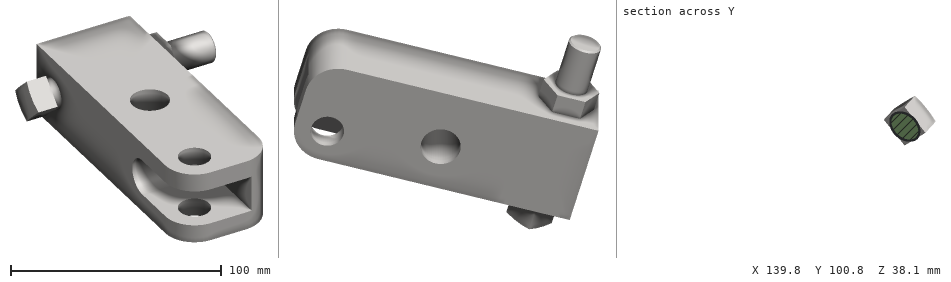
import cadquery as cq
import math

BLOCK_DEPTH = 50.8
BLOCK_HEIGHT = 38.1
CORNER_RADIUS = 15.875
PIN_X = 123.955
BLOCK_LENGTH = PIN_X + CORNER_RADIUS

PIN_HOLE_DIAMETER = 15.875
PIN_Y = CORNER_RADIUS
PIVOT_HOLE_DIAMETER = 19.05
PIVOT_X = 69.85
PIVOT_Y = 22.225

SLOT_WIDTH = 19.05
SLOT_START_X = 92.075
SLOT_BACK_WALL = 12.7

BOLT_X = 16.0
BOLT_DIAMETER = 15.875
BOLT_LENGTH = 88.9
BOLT_CHAMFER = 0.79375
HEAD_GAP = 3.96875
HEAD_SIDE = 15.875
HEAD_HEIGHT = 11.90625
HEAD_DOME_RADIUS = 44.45
NUT_ACROSS_FLATS = 23.8125
NUT_THICKNESS = 9.525

MID_HEIGHT = BLOCK_HEIGHT / 2
HEAD_SEAT_Y = -HEAD_GAP


def plane_facing_back(y):
    """XZ plane through the bolt axis at the given Y, with its normal along +Y."""
    return cq.Plane(origin=(BOLT_X, y, MID_HEIGHT), xDir=(1, 0, 0), normal=(0, 1, 0))


def make_block():
    block = cq.Workplane("XY").box(BLOCK_LENGTH, BLOCK_DEPTH, BLOCK_HEIGHT, centered=False)
    return block.edges("|Z and >X").fillet(CORNER_RADIUS)


def make_vertical_hole(x, y, diameter):
    return cq.Workplane("XY").center(x, y).circle(diameter / 2).extrude(BLOCK_HEIGHT)


def make_slot():
    """Slot with a rounded inner end, open at the front and at the +X end."""
    slot_depth = BLOCK_DEPTH - SLOT_BACK_WALL
    slot_radius = SLOT_WIDTH / 2
    arc_center_x = SLOT_START_X + slot_radius
    profile = (
        cq.Workplane("XZ")
        .moveTo(BLOCK_LENGTH, MID_HEIGHT - slot_radius)
        .lineTo(arc_center_x, MID_HEIGHT - slot_radius)
        .threePointArc((SLOT_START_X, MID_HEIGHT), (arc_center_x, MID_HEIGHT + slot_radius))
        .lineTo(BLOCK_LENGTH, MID_HEIGHT + slot_radius)
        .close()
    )
    return profile.extrude(-slot_depth)


def make_shank():
    shank = cq.Workplane(plane_facing_back(HEAD_SEAT_Y)).circle(BOLT_DIAMETER / 2).extrude(BOLT_LENGTH)
    return shank.faces(">Y").chamfer(BOLT_CHAMFER)


def make_head():
    """Square head standing on one corner, its outer end cut to a shallow sphere."""
    crown_y = HEAD_SEAT_Y - HEAD_HEIGHT
    head = (
        cq.Workplane(plane_facing_back(crown_y))
        .transformed(rotate=(0, 0, 45))
        .rect(HEAD_SIDE, HEAD_SIDE)
        .extrude(HEAD_HEIGHT)
    )
    dome = cq.Workplane("XY").sphere(HEAD_DOME_RADIUS)
    return head.intersect(dome.translate((BOLT_X, crown_y + HEAD_DOME_RADIUS, MID_HEIGHT)))


def make_nut():
    """Hexagonal nut seated on the back face, with two corners pointing along X."""
    across_corners = NUT_ACROSS_FLATS / math.cos(math.pi / 6)
    return cq.Workplane(plane_facing_back(BLOCK_DEPTH)).polygon(6, across_corners).extrude(NUT_THICKNESS)


block = make_block()
block = block.cut(make_vertical_hole(PIN_X, PIN_Y, PIN_HOLE_DIAMETER))
block = block.cut(make_vertical_hole(PIVOT_X, PIVOT_Y, PIVOT_HOLE_DIAMETER))
block = block.cut(make_slot())

result = block.union(make_shank()).union(make_head()).union(make_nut())